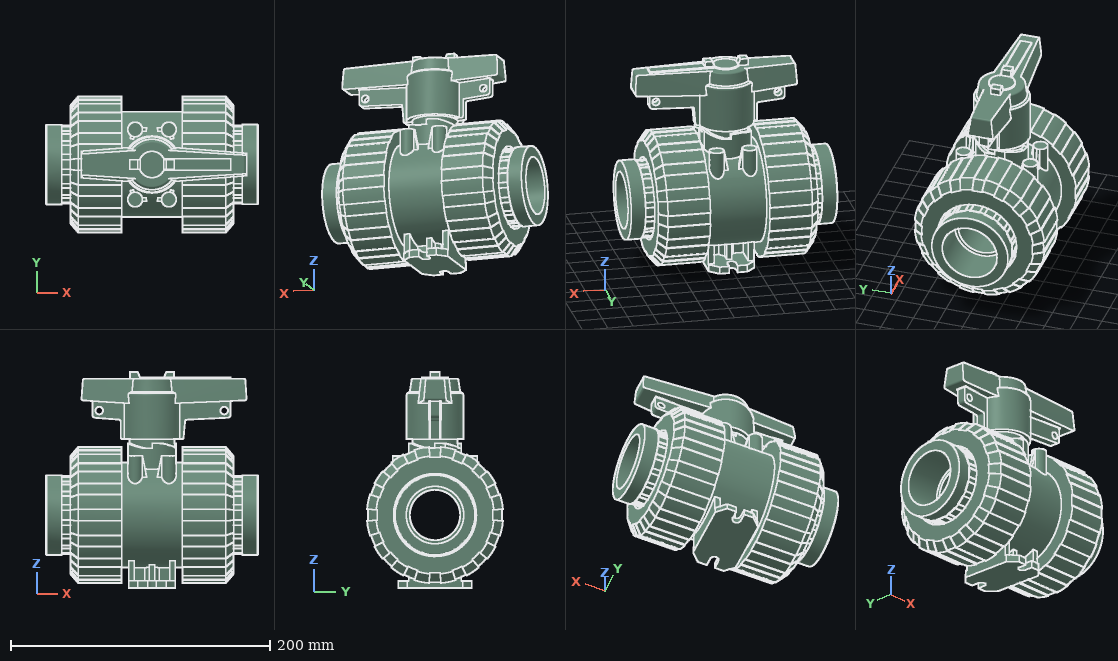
import cadquery as cq
import math


barrel_radius = 40.7
barrel_half_length = 50.0
bore_radius = 19.4

nut_inner_x = 23.5
nut_outer_x = 63.0
nut_taper_length = 6.0
nut_taper_depth = 7.2
nut_ridge_radius = 52.7
nut_groove_radius = 51.9
nut_ridge_angle = 12.5
nut_mouth_radius = 32.0
grip_count = 16
grip_pitch = 360 / grip_count
nut_taper_x = nut_outer_x - nut_taper_length

connector_end_x = 82.02
connector_rim_length = 12.2
connector_rim_radius = 30.9
rim_round_length = 0.7
rim_flat_radius = 29.5
connector_neck_radius = 30.2
neck_notch_depth = 0.7
neck_notch_angle = 7.9
socket_radius = 22.2

stem_radius = 17.5
stem_bottom_z = 26.7
stem_top_z = 73.5
collar_radius = 20.4
collar_half_width = 18.7
collar_top_z = 55.2
collar_low_z = 51.4
stop_count = 4
stop_flat_angle = 25.0
stop_ramp_angle = 47.0

post_radius = 5.7
post_x = 13.0
post_y = 27.0
post_top_z = 45.5
gusset_width = 2.5
gusset_foot_reach = 8.8
gusset_foot_z = 29.5
gusset_skew = 110.0

foot_half_length = 18.0
foot_half_width = 28.4
foot_bottom_z = -56.4
foot_thickness = 5.7
foot_corner = 7.0
foot_slot_radius = 3.3
foot_slot_depth = 6.7
foot_wall_thickness = 4.5
foot_web_thickness = 4.0
foot_rib_half_length = 13.9
foot_boss_radius = 6.0

hub_radius = 22.0
hub_bottom_z = 58.5
hub_shoulder_z = 92.3
hub_lip_radius = 21.4
hub_lip_z = 94.1
hub_cone_z = 95.3
hub_cone_radius = 19.5
hub_top_radius = 18.0
hub_top_fillet = 1.3
lever_top_z = 105.3
lever_hub_z = 86.5
lever_end_z = 88.5
lever_fillet = 1.7
slot_width = 9.2
cap_radius = 10.2
pad_height = 1.0
pad_end_x = 60.7
lug_width = 7.7
lug_top_z = 110.5
lug_outer_x = 17.0
lug_top_inner_x = 11.0
lug_base_inner_x = 9.2

insert_thickness = 7.5
insert_left_x = -46.0
insert_right_x = 60.7
insert_tip_z = 75.1
insert_corner_radius = 2.5
leg_corner_radius = 1.3
leg_left_x = -24.2
leg_right_top_x = 25.7
leg_right_bottom_x = 24.4
tie_hole_radius = 2.8
tie_hole_inset_left = 5.3
tie_hole_inset_right = 5.0
tie_hole_z = 80.6


def turned(points, angle=360):
    """Revolve a closed (x, radius) outline about the pipe axis."""
    return cq.Workplane("XY").polyline(points).close().revolve(angle, (0, 0, 0), (1, 0, 0))


def around_pipe(shape, angle):
    return shape.rotate((0, 0, 0), (1, 0, 0), angle)


def around_stem(shape, angle):
    return shape.rotate((0, 0, 0), (0, 0, 1), angle)


def disc(radius, low_z, high_z):
    return cq.Workplane("XY").workplane(offset=low_z).circle(radius).extrude(high_z - low_z)


def block(low, high):
    """Box between two opposite corners."""
    size = [b - a for a, b in zip(low, high)]
    return cq.Workplane("XY").box(*size, centered=False).translate(low)


def pipe_rod(radius, half_length):
    return cq.Workplane("YZ").circle(radius).extrude(half_length, both=True)



def collar_stop_cut():
    """Material removed in one quarter of the collar top: a ramp, then a low flat."""
    ramp_middle = math.radians(stop_flat_angle + stop_ramp_angle / 2)
    half_run = collar_radius * math.sin(math.radians(stop_ramp_angle / 2))
    ramp = (
        cq.Workplane("YZ")
        .polyline([(-half_run, collar_top_z), (half_run, collar_top_z), (half_run, collar_low_z)])
        .close()
        .extrude(2 * collar_radius)
    )
    ramp = around_stem(ramp, math.degrees(ramp_middle))
    reach = 2 * collar_radius
    low_start = math.radians(stop_flat_angle + stop_ramp_angle)
    flat = (
        cq.Workplane("XY")
        .workplane(offset=collar_low_z)
        .polyline([(0, 0), (reach * math.cos(low_start), reach * math.sin(low_start)), (0, reach)])
        .close()
        .extrude(collar_top_z - collar_low_z)
    )
    return ramp.union(flat)


def make_collar():
    collar = disc(collar_radius, 0, collar_top_z)
    flats = block(
        (-collar_half_width, -collar_radius, 0),
        (collar_half_width, collar_radius, collar_top_z),
    )
    collar = collar.intersect(flats)
    for i in range(stop_count):
        collar = collar.cut(around_stem(collar_stop_cut(), i * 360 / stop_count))
    return collar


def make_gusset():
    """Tapered rib that starts on a post axis and runs along +X."""
    return (
        cq.Workplane("XZ")
        .polyline([
            (0, 0),
            (gusset_foot_reach, 0),
            (gusset_foot_reach, gusset_foot_z),
            (post_radius, post_top_z),
            (0, post_top_z),
        ])
        .close()
        .extrude(gusset_width / 2, both=True)
    )


def make_post():
    """Post of the (-X, -Y) corner, with gussets towards +X and towards the collar."""
    post = disc(post_radius, 0, post_top_z)
    post = post.union(make_gusset())
    post = post.union(around_stem(make_gusset(), gusset_skew))
    return post.translate((-post_x, -post_y, 0))


def make_posts():
    pair = make_post()
    pair = pair.union(pair.mirror("YZ"))
    return pair.union(pair.mirror("XZ"))


def make_foot():
    foot_top_z = foot_bottom_z + foot_thickness
    plate = (
        block(
            (-foot_half_length, -foot_half_width, foot_bottom_z),
            (foot_half_length, foot_half_width, foot_top_z),
        )
        .edges("|Z")
        .chamfer(foot_corner)
    )
    slot_center_y = foot_half_width - foot_slot_depth
    for side in (-1, 1):
        slot = disc(foot_slot_radius, foot_bottom_z, foot_top_z).union(
            block(
                (-foot_slot_radius, 0, foot_bottom_z),
                (foot_slot_radius, foot_slot_depth, foot_top_z),
            )
        )
        slot = slot.translate((0, slot_center_y, 0))
        plate = plate.cut(slot if side > 0 else slot.mirror("XZ"))

    half_web = foot_web_thickness / 2
    web = block((-foot_half_length, -half_web, foot_top_z), (foot_half_length, half_web, 0))
    rib = block((-half_web, -foot_rib_half_length, foot_top_z), (half_web, foot_rib_half_length, 0))
    wall = block(
        (foot_half_length - foot_wall_thickness, -collar_radius, foot_top_z),
        (foot_half_length, collar_radius, 0),
    )
    boss = disc(foot_boss_radius, foot_top_z, 0)
    return plate.union(web).union(rib).union(wall).union(wall.mirror("YZ")).union(boss)


def make_housing():
    housing = pipe_rod(barrel_radius, barrel_half_length)
    housing = housing.union(make_collar()).union(make_posts()).union(make_foot())
    housing = housing.cut(pipe_rod(bore_radius, barrel_half_length))
    return housing.cut(disc(stem_radius, stem_bottom_z, collar_top_z))



def nut_outline(inner_radius, outer_radius):
    """Half section of a sleeve with a tapered outer end."""
    return [
        (nut_inner_x, inner_radius),
        (nut_inner_x, outer_radius),
        (nut_taper_x, outer_radius),
        (nut_outer_x, outer_radius - nut_taper_depth),
        (nut_outer_x, inner_radius),
    ]


def make_nut():
    nut = turned(nut_outline(nut_mouth_radius, nut_groove_radius))
    ridge = turned(nut_outline(barrel_radius, nut_ridge_radius), nut_ridge_angle)
    for i in range(grip_count):
        middle = (i + 0.5) * grip_pitch
        nut = nut.union(around_pipe(ridge, middle - nut_ridge_angle / 2))
    thread_space = turned([
        (nut_inner_x, 0),
        (nut_inner_x, barrel_radius),
        (nut_taper_x, barrel_radius),
        (nut_taper_x, 0),
    ])
    return nut.cut(thread_space)



def rim_rounding():
    """Ring removed at the open end: an arc from the rim that meets the end face smoothly."""
    round_height = connector_rim_radius - rim_flat_radius
    arc_radius = (round_height**2 + rim_round_length**2) / (2 * rim_round_length)
    half_turn = math.asin(round_height / arc_radius) / 2
    arc_middle = (
        connector_end_x - arc_radius * (1 - math.cos(half_turn)),
        rim_flat_radius + arc_radius * math.sin(half_turn),
    )
    return (
        cq.Workplane("XY")
        .moveTo(connector_end_x, rim_flat_radius)
        .threePointArc(arc_middle, (connector_end_x - rim_round_length, connector_rim_radius))
        .lineTo(connector_end_x, connector_rim_radius)
        .close()
        .revolve(360, (0, 0, 0), (1, 0, 0))
    )


def make_connector():
    rim_x = connector_end_x - connector_rim_length
    connector = turned([
        (barrel_half_length, socket_radius),
        (barrel_half_length, barrel_radius),
        (nut_taper_x, barrel_radius),
        (nut_taper_x, connector_neck_radius),
        (rim_x, connector_neck_radius),
        (rim_x, connector_rim_radius),
        (connector_end_x, connector_rim_radius),
        (connector_end_x, socket_radius),
    ])
    connector = connector.cut(rim_rounding())
    notch_floor = connector_neck_radius - neck_notch_depth
    notch = turned(
        [
            (nut_taper_x, notch_floor),
            (nut_taper_x, connector_rim_radius),
            (rim_x, connector_rim_radius),
            (rim_x, notch_floor),
        ],
        neck_notch_angle,
    )
    for i in range(grip_count):
        middle = (i + 0.5) * grip_pitch
        connector = connector.cut(around_pipe(notch, middle - neck_notch_angle / 2))
    return connector



def make_stem():
    return disc(stem_radius, stem_bottom_z, stem_top_z)



def lever_outline(left_x, left_half, middle_half, right_x, right_half):
    """Six corners of the lever, widest over the stem axis."""
    upper = [(right_x, right_half), (0, middle_half), (left_x, left_half)]
    lower = [(x, -y) for x, y in reversed(upper)]
    return upper + lower


lever_base = dict(left_x=-54.7, left_half=10.5, middle_half=14.4, right_x=73.3, right_half=8.8)
lever_top = dict(left_x=-53.4, left_half=8.2, middle_half=11.7, right_x=72.1, right_half=7.2)


def make_lever():
    """Drafted bar whose underside drops from both ends towards the hub."""
    bar = (
        cq.Workplane("XY")
        .workplane(offset=lever_hub_z)
        .polyline(lever_outline(**lever_base))
        .close()
        .workplane(offset=lever_top_z - lever_hub_z)
        .polyline(lever_outline(**lever_top))
        .close()
        .loft(ruled=True)
    )
    for end_x in (lever_base["left_x"], lever_base["right_x"]):
        hub_edge_x = math.copysign(hub_radius, end_x)
        wedge = (
            cq.Workplane("XZ")
            .polyline([(hub_edge_x, lever_hub_z), (end_x, lever_hub_z), (end_x, lever_end_z)])
            .close()
            .extrude(hub_radius, both=True)
        )
        bar = bar.cut(wedge)
        for edge_z in (lever_top_z, lever_end_z):
            edge = cq.selectors.NearestToPointSelector((end_x, 0, edge_z))
            bar = bar.edges(edge).fillet(lever_fillet)
    return bar


def make_hub():
    hub = (
        cq.Workplane("XZ")
        .moveTo(0, hub_bottom_z)
        .lineTo(hub_radius, hub_bottom_z)
        .lineTo(hub_radius, hub_shoulder_z)
        .tangentArcPoint((hub_lip_radius, hub_lip_z), relative=False)
        .lineTo(hub_cone_radius, hub_cone_z)
        .lineTo(hub_top_radius, lever_top_z)
        .lineTo(0, lever_top_z)
        .close()
        .revolve(360, (0, 0, 0), (0, 1, 0))
    )
    return hub.faces(">Z").edges().fillet(hub_top_fillet)


def make_lug():
    """Lug on the +X side of the cap, sloped towards the cap."""
    return (
        cq.Workplane("XZ")
        .polyline([
            (lug_base_inner_x, lever_top_z),
            (lug_outer_x, lever_top_z),
            (lug_outer_x, lug_top_z),
            (lug_top_inner_x, lug_top_z),
            (lug_base_inner_x, lever_top_z + pad_height),
        ])
        .close()
        .extrude(lug_width / 2, both=True)
    )


def make_handle():
    handle = make_hub().union(make_lever())
    pad_top_z = lever_top_z + pad_height
    handle = handle.union(disc(cap_radius, lever_top_z, pad_top_z))
    half_slot = slot_width / 2
    handle = handle.union(block((0, -half_slot, lever_top_z), (pad_end_x, half_slot, pad_top_z)))
    handle = handle.union(make_lug()).union(make_lug().mirror("YZ"))
    slot = block(
        (insert_left_x, -half_slot, hub_bottom_z),
        (insert_right_x, half_slot, lever_end_z),
    )
    return handle.cut(slot).cut(disc(stem_radius, hub_bottom_z, stem_top_z))



def make_insert():
    """Plate across the handle slot that straddles the stem on two legs."""
    plate = (
        cq.Workplane("XZ")
        .polyline([
            (insert_left_x, lever_end_z),
            (insert_left_x, insert_tip_z),
            (leg_left_x, stem_top_z),
            (leg_left_x, hub_bottom_z),
            (leg_right_bottom_x, hub_bottom_z),
            (leg_right_top_x, stem_top_z),
            (insert_right_x, insert_tip_z),
            (insert_right_x, lever_end_z),
        ])
        .close()
        .extrude(insert_thickness / 2, both=True)
    )
    rounded_corners = [
        (insert_left_x, insert_tip_z, insert_corner_radius),
        (insert_right_x, insert_tip_z, insert_corner_radius),
        (leg_left_x, stem_top_z, leg_corner_radius),
        (leg_right_top_x, stem_top_z, leg_corner_radius),
        (leg_left_x, hub_bottom_z, leg_corner_radius),
        (leg_right_bottom_x, hub_bottom_z, leg_corner_radius),
    ]
    for x, z, radius in rounded_corners:
        corner = cq.selectors.NearestToPointSelector((x, 0, z))
        plate = plate.edges("|Y").edges(corner).fillet(radius)
    hole_spots = [
        (insert_left_x + tie_hole_inset_left, tie_hole_z),
        (insert_right_x - tie_hole_inset_right, tie_hole_z),
    ]
    holes = (
        cq.Workplane("XZ")
        .pushPoints(hole_spots)
        .circle(tie_hole_radius)
        .extrude(insert_thickness, both=True)
    )
    return plate.cut(holes).cut(make_stem())


housing = make_housing()
stem = make_stem()
handle = make_handle()
insert = make_insert()

nuts = []
connectors = []
for turn in (0, 180):
    nuts.append(around_stem(make_nut(), turn).val())
    connectors.append(around_stem(make_connector(), turn).val())

result = cq.Compound.makeCompound([
    housing.val(),
    *nuts,
    *connectors,
    stem.val(),
    handle.val(),
    insert.val(),
])